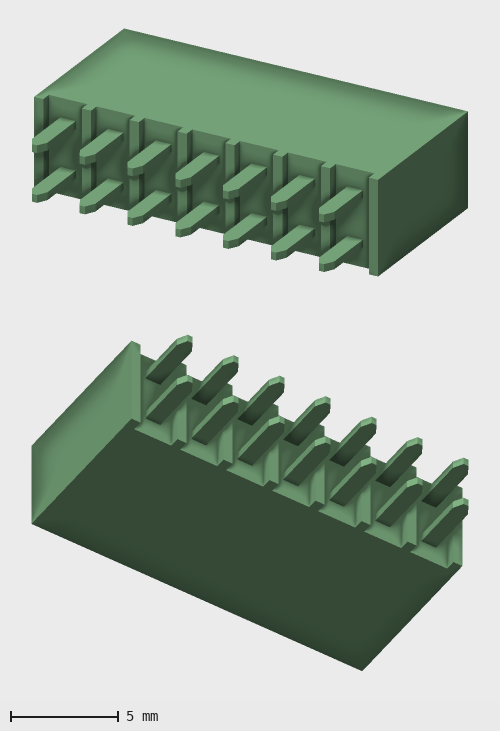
import cadquery as cq

columns = 7
rows = 2
pitch = 2.55

housing_width = 18.29
housing_depth = 8.5
housing_height = 4.95

rib_width = 0.5
channel_width = pitch - rib_width
channel_depth = 0.53

pin_width = 0.82
pin_thickness = 0.4
pin_reach = 2.65
point_length = 0.5
point_width = 0.27

rib_face_y = 0.0
channel_floor_y = rib_face_y + channel_depth
pin_tip_y = rib_face_y - pin_reach


def centred_positions(count):
    """Return positions one pitch apart, centred on zero."""
    return [(index - (count - 1) / 2) * pitch for index in range(count)]


def make_housing():
    """Block with one full-height channel per column of pins."""
    housing = cq.Workplane("XY").box(
        housing_width, housing_depth, housing_height, centered=(True, False, True)
    )
    channel = cq.Workplane("XY").box(
        channel_width, channel_depth, housing_height, centered=(True, False, True)
    )
    for x in centred_positions(columns):
        housing = housing.cut(channel.translate((x, rib_face_y, 0)))
    return housing


def make_pin():
    """Flat pin from the channel floor to its tip, centred on X and Z."""
    shoulder_y = pin_tip_y + point_length
    outline = [
        (-pin_width / 2, channel_floor_y),
        (-pin_width / 2, shoulder_y),
        (-point_width / 2, pin_tip_y),
        (point_width / 2, pin_tip_y),
        (pin_width / 2, shoulder_y),
        (pin_width / 2, channel_floor_y),
    ]
    return cq.Workplane("XY").polyline(outline).close().extrude(pin_thickness / 2, both=True)


result = make_housing()
pin = make_pin()
for x in centred_positions(columns):
    for z in centred_positions(rows):
        result = result.union(pin.translate((x, 0, z)))